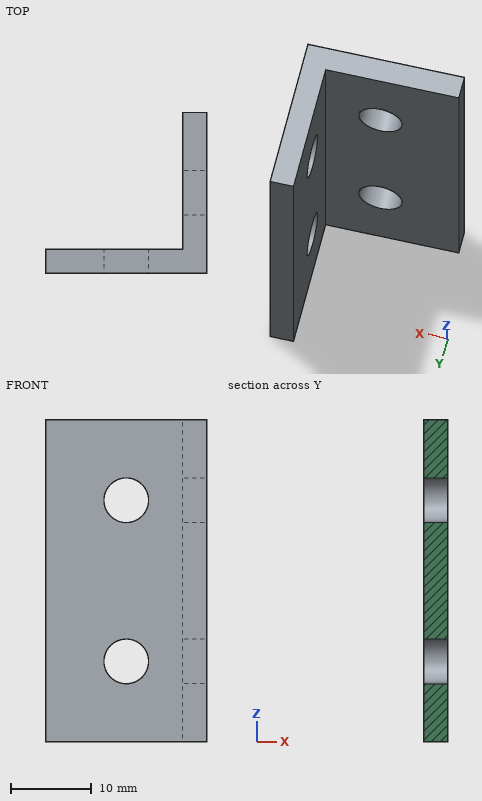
import cadquery as cq

height = 40.0
leg_width = 20.0
thickness = 3.0
hole_diameter = 5.5
hole_spacing = height / 2

half_width = leg_width / 2
inner_x = half_width - thickness
inner_y = -half_width + thickness

bracket = (
    cq.Workplane("XY")
    .workplane(offset=-height / 2)
    .polyline([
        (-half_width, -half_width),
        (half_width, -half_width),
        (half_width, half_width),
        (inner_x, half_width),
        (inner_x, inner_y),
        (-half_width, inner_y),
    ])
    .close()
    .extrude(height)
)


def hole_cutters(plane):
    """Return a vertical pair of cylinders, centred on the leg width, along the plane's normal."""
    return (
        cq.Workplane(plane)
        .rarray(0.4, hole_spacing, 1, 2)
        .circle(hole_diameter / 2)
        .extrude(half_width, both=True)
    )


result = bracket.cut(hole_cutters("XZ")).cut(hole_cutters("YZ"))